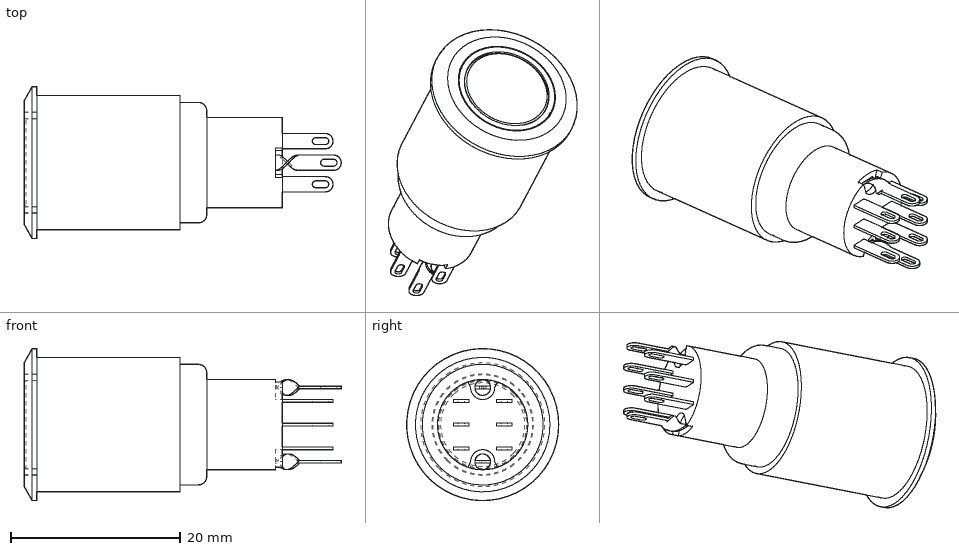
import cadquery as cq
import math

LENGTH = 37.5

FLANGE_DIA = 18.0
FLANGE_FACE_DIA = 14.65
FLANGE_BEVEL_END = 0.95
FLANGE_END = 1.5
BARREL_DIA = 15.9
BARREL_END = 18.45
COLLAR_DIA = 14.3
COLLAR_END = 21.6
COLLAR_FILLET = 1.0
REAR_DIA = 10.7
REAR_END = 30.52

RECESS_DIA = 12.0
RECESS_DEPTH = FLANGE_END
RING_OUTER_DIA = 11.8
RING_BORE_DIA = 10.45
BUTTON_DIA = 10.4
BUTTON_CHAMFER = 0.22

PIN_WIDTH = 1.85
PIN_THICKNESS = 0.35
EYE_LENGTH = 1.9
EYE_WIDTH = 0.8
EYE_TO_TIP = 0.52
SHORT_PIN_TIP = 36.52
SHORT_PIN_Y = 2.55
SHORT_PIN_PITCH_Z = 2.8
LONG_PIN_Z = 4.4
TWIST_LENGTH = 2.8
TWIST_ANGLE = -180.0

NOTCH_DEPTH = 0.8
NOTCH_RADIUS = 1.42
NOTCH_MOUTH_WIDTH = 3.5
NOTCH_FLOOR_X = REAR_END - NOTCH_DEPTH


def disc(diameter, start, end):
    """Cylinder along X from start to end."""
    return cq.Workplane("YZ", origin=(start, 0, 0)).circle(diameter / 2).extrude(end - start)


def turned_shell():
    """Stepped round housing with a bevelled flange and a recessed front."""
    profile = (
        cq.Workplane("XY")
        .moveTo(0, 0)
        .lineTo(0, FLANGE_FACE_DIA / 2)
        .lineTo(FLANGE_BEVEL_END, FLANGE_DIA / 2)
        .lineTo(FLANGE_END, FLANGE_DIA / 2)
        .lineTo(FLANGE_END, BARREL_DIA / 2)
        .lineTo(BARREL_END, BARREL_DIA / 2)
        .lineTo(BARREL_END, COLLAR_DIA / 2)
        .lineTo(COLLAR_END - COLLAR_FILLET, COLLAR_DIA / 2)
        .radiusArc((COLLAR_END, COLLAR_DIA / 2 - COLLAR_FILLET), COLLAR_FILLET)
        .lineTo(COLLAR_END, REAR_DIA / 2)
        .lineTo(REAR_END, REAR_DIA / 2)
        .lineTo(REAR_END, 0)
        .close()
    )
    shell = profile.revolve(360, (0, 0, 0), (1, 0, 0))
    return shell.cut(disc(RECESS_DIA, 0, RECESS_DEPTH))


def notch(side):
    """Cutter with a round bottom and flared walls; side is +1 for top, -1 for bottom."""
    half_mouth = NOTCH_MOUTH_WIDTH / 2
    mouth_z = math.sqrt((REAR_DIA / 2) ** 2 - half_mouth**2)
    outside_z = REAR_DIA / 2
    return (
        cq.Workplane("YZ", origin=(NOTCH_FLOOR_X, 0, 0))
        .moveTo(-NOTCH_RADIUS, side * LONG_PIN_Z)
        .threePointArc((0, side * (LONG_PIN_Z - NOTCH_RADIUS)), (NOTCH_RADIUS, side * LONG_PIN_Z))
        .lineTo(half_mouth, side * mouth_z)
        .lineTo(half_mouth, side * outside_z)
        .lineTo(-half_mouth, side * outside_z)
        .lineTo(-half_mouth, side * mouth_z)
        .close()
        .extrude(NOTCH_DEPTH)
    )


def flat_pin(start, tip, y, z):
    """Flat terminal with a round tip and a slotted eye."""
    round_center = tip - PIN_WIDTH / 2
    eye_center = tip - EYE_TO_TIP - EYE_LENGTH / 2
    blade = (
        cq.Workplane("XY", origin=(0, y, z - PIN_THICKNESS / 2))
        .moveTo(start, -PIN_WIDTH / 2)
        .lineTo(round_center, -PIN_WIDTH / 2)
        .threePointArc((tip, 0), (round_center, PIN_WIDTH / 2))
        .lineTo(start, PIN_WIDTH / 2)
        .close()
        .extrude(PIN_THICKNESS)
    )
    eye = (
        cq.Workplane("XY", origin=(eye_center, y, z - PIN_THICKNESS / 2))
        .slot2D(EYE_LENGTH, EYE_WIDTH)
        .extrude(PIN_THICKNESS)
    )
    return blade.cut(eye)


def twisted_pin(z):
    """Long terminal whose root is twisted by half a turn."""
    root = (
        cq.Workplane("YZ", origin=(NOTCH_FLOOR_X, 0, z))
        .rect(PIN_WIDTH, PIN_THICKNESS)
        .twistExtrude(TWIST_LENGTH, TWIST_ANGLE)
    )
    return root.union(flat_pin(NOTCH_FLOOR_X + TWIST_LENGTH, LENGTH, 0, z))


def make_housing():
    """Shell together with its six short and two twisted terminals."""
    housing = turned_shell()
    for side in (1, -1):
        housing = housing.cut(notch(side))
        housing = housing.union(twisted_pin(side * LONG_PIN_Z))
    for y in (-SHORT_PIN_Y, SHORT_PIN_Y):
        for row in (-1, 0, 1):
            housing = housing.union(flat_pin(REAR_END, SHORT_PIN_TIP, y, row * SHORT_PIN_PITCH_Z))
    return housing


def make_ring():
    """Plain ring set in the front recess, flush with the flange face."""
    return disc(RING_OUTER_DIA, 0, RECESS_DEPTH).cut(disc(RING_BORE_DIA, 0, RECESS_DEPTH))


def make_button():
    """Round push button with a chamfered front edge."""
    return disc(BUTTON_DIA, 0, RECESS_DEPTH).faces("<X").chamfer(BUTTON_CHAMFER)


housing = make_housing()
ring = make_ring()
button = make_button()

result = cq.Compound.makeCompound([housing.val(), ring.val(), button.val()])